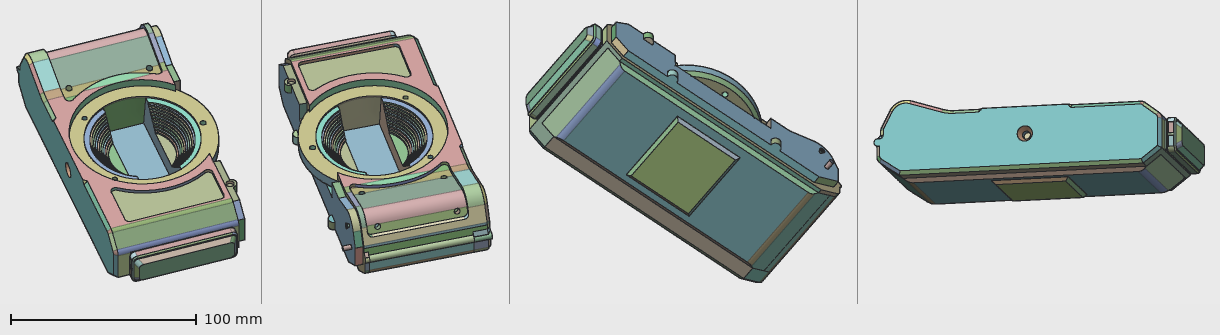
import cadquery as cq
import math


BODY_BACK_Y = 28.5
BODY_FRONT_Y = -42.4
FRONT_CHAMFER = 2.0
SHOULDER_Z = 38.4
BODY_BOTTOM_Z = 4.2
BODY_RIGHT_X = 75.2
BODY_LEFT_X = -82.1
GRIP_LEFT_X = -80.1
BODY_SLOPE_RIGHT_X = 64.8
BODY_SLOPE_LEFT_X = -69.5
RIGHT_SLOPE_LOW_Z = 12.0
LEFT_SLOPE_LOW_Z = 12.7
GRIP_FLANK_FOOT = (-79.6, 30.8)
GRIP_PEAK = (-71.0, 47.5)
GRIP_RADIUS = 10.0
CORNER_RADIUS = 4.0
BODY_CORNERS = [
    ((BODY_RIGHT_X, 30.5), CORNER_RADIUS),
    ((BODY_RIGHT_X, RIGHT_SLOPE_LOW_Z), 0),
    ((BODY_SLOPE_RIGHT_X, BODY_BOTTOM_Z), 0),
    ((BODY_SLOPE_LEFT_X, BODY_BOTTOM_Z), 0),
    ((BODY_LEFT_X, LEFT_SLOPE_LOW_Z), CORNER_RADIUS),
    ((BODY_LEFT_X, 24.5), 0),
    ((GRIP_LEFT_X, 26.5), 0),
    ((GRIP_LEFT_X, 29.5), 0),
    (GRIP_FLANK_FOOT, 0),
    (GRIP_PEAK, GRIP_RADIUS),
    ((-42.5, SHOULDER_Z), 18.5),
    ((BODY_SLOPE_RIGHT_X, SHOULDER_Z), CORNER_RADIUS),
]
PLAIN_EDGE_HALF = 23.5

PLATE_BACK_Y = 32.8
PLATE_NOTCH_HALF = 32.2
PLATE_BOTTOM_Z = 7.2
PLATE_RIGHT_X = 72.2
PLATE_LEFT_X = -77.9
PLATE_SHOULDER_Z = 36.2
PLATE_CORNERS = [
    ((PLATE_RIGHT_X, 29.7), 0),
    ((PLATE_RIGHT_X, 13.4), 0),
    ((64.0, PLATE_BOTTOM_Z), 0),
    ((-64.8, PLATE_BOTTOM_Z), 0),
    ((PLATE_LEFT_X, 16.1), 0),
    ((PLATE_LEFT_X, 29.0), 0),
    ((-70.0, 45.7), 10.0),
    ((-44.9, PLATE_SHOULDER_Z), 0),
    ((64.0, PLATE_SHOULDER_Z), 0),
]

LUG_DIAMETER = 6.2
LUG_AXIS_Y = 32.7
LUG_HEIGHT = 5.5
LUG_XS = (-35.4, 34.3)
EYELET_X = 50.8
EYELET_TOP_Z = PLATE_SHOULDER_Z
EYELET_HOLE_Y = 32.0
EYELET_HOLE_DIAMETER = 4.4
EYELET_HOLE_DEPTH = 2.0
PIN_X, PIN_Z = -69.9, 22.8
PIN_DIAMETER = 2.7
PIN_END_Y = 37.5
BUTTON_X, BUTTON_Z = -65.8, 35.0
BUTTON_STEM_DIAMETER = 2.0
BUTTON_HEAD_DIAMETER = 3.2
BUTTON_HEAD_HEIGHT = 0.5
BUTTON_END_Y = 34.5

MOUNT_TOP_Z = 33.7
MOUNT_THICKNESS = 8.4
MOUNT_RADIUS = 41.0
MOUNT_CHAMFER = 2.2
MOUNT_RECESS_RADIUS = 39.5
SEAT_RADIUS = 31.5
SEAT_DEPTH = 1.0
BAFFLE_TOP_RADIUS = 28.3
BAFFLE_FLOOR_RADIUS = 18.3
BAFFLE_FLOOR_Z = 20.5
BAFFLE_STEPS = 11
GATE_HALF_LENGTH = 32.5
GATE_HALF_HEIGHT = 12.0
MOUNT_HOLE_CIRCLE_RADIUS = 34.5
PIN_HOLE_DIAMETER = 3.2
SCREW_HOLE_DIAMETER = 2.7
SCREW_HOLE_DEPTH = 5.0

POCKET_DEPTH = 2.0
POCKET_TOP_Y = 25.5
POCKET_BOTTOM_Y = -31.0
POCKET_RIGHT_X = 62.0
POCKET_ARC_RADIUS = 44.5
POCKET_CORNER_RADIUS = 2.5
GRIP_POCKET_LOWER_Z = 34.5
GRIP_HOLE_DIAMETER = 3.2
GRIP_HOLE_DEPTH = 5.0
GRIP_TOP_HOLE_X = -45.4
GRIP_TOP_HOLE_YS = (20.0, -26.0)
GRIP_SIDE_HOLE_X, GRIP_SIDE_HOLE_Z = -74.0, 37.9
GRIP_SIDE_HOLE_YS = (19.1, -25.3)
GRIP_FLANK_ANGLE = math.atan2(GRIP_PEAK[1] - GRIP_FLANK_FOOT[1], GRIP_PEAK[0] - GRIP_FLANK_FOOT[0])

TRIPOD_Z = 23.3
TRIPOD_MOUTH_DIAMETER = 8.4
TRIPOD_HOLE_DIAMETER = 4.4
TRIPOD_CONE_DEPTH = 4.0
TRIPOD_DEPTH = 8.0

DOOR_TOP_Y = 26.1
DOOR_BOTTOM_Y = -32.3
DOOR_INNER_Z = 10.2
DOOR_HINGE_WALL_X = -77.4
DOOR_HINGE_WALL_TOP_Z = 18.5
DOOR_BULGE = 2.2
DOOR_BULGE_RADIUS = 6.7
HINGE_X, HINGE_Z = -81.3, 22.5
HINGE_RADIUS = 2.0
BUMP_LEFT_X, BUMP_RIGHT_X = -22.1, 20.3
BUMP_TOP_Y, BUMP_BOTTOM_Y = 19.0, -26.5
BUMP_CHAMFER = 1.8

LATCH_CENTRE_Y, LATCH_CENTRE_Z = -4.4, 21.0
LATCH_NECK_SIZE = (58.0, 16.1)
LATCH_BAR_SIZE = (60.2, 19.1)
LATCH_BAR_LEFT_X, LATCH_BAR_RIGHT_X = 76.0, 81.5
LATCH_CORNER_RADIUS = 3.0
LATCH_RIM_CHAMFER = 0.8
LATCH_CAP_SIZE = (58.3, 15.7)
LATCH_CAP_TAPER = 36.0
LATCH_CAP_RISE = 2.8
LATCH_SLOT_X, LATCH_SLOT_WIDTH = 78.7, 3.0
LATCH_SLOT_HEIGHT = 6.0
LATCH_SLOT_SPACING = 7.4
LATCH_SLOT_DEPTH = 1.0

TALL = 100.5


def box_between(x_range, y_range, z_range):
    """Box from two limits along each axis."""
    spans = [(min(r), max(r)) for r in (x_range, y_range, z_range)]
    sizes = [high - low for low, high in spans]
    return cq.Workplane("XY").box(*sizes, centered=False).translate(tuple(low for low, high in spans))


def cylinder_z(x, y, bottom, radius, height):
    return cq.Workplane("XY", origin=(x, y, bottom)).circle(radius).extrude(height)


def cylinder_y(x, z, y_start, y_end, radius):
    """Cylinder along Y between two places."""
    return cq.Workplane("XZ", origin=(x, y_start, z)).circle(radius).extrude(y_start - y_end)


def rounded_outline(corners, y):
    """Closed XZ outline at height y, with each listed corner rounded by its radius."""
    points = [cq.Vector(x, y, z) for (x, z), radius in corners]
    outline = cq.Wire.makePolygon(points, close=True)
    for point, (_, radius) in zip(points, corners):
        if radius:
            corner = min(outline.Vertices(), key=lambda v: (cq.Vector(*v.toTuple()) - point).Length)
            outline = outline.fillet2D(radius, [corner])
    return outline


def prism(outline, y_start, y_end, taper=0):
    """Extrude an outline that lies at y_start along Y to y_end."""
    direction = cq.Vector(0, y_end - y_start, 0)
    return cq.Workplane(cq.Solid.extrudeLinear(outline, [], direction, taper))


def body_shell():
    """Main block with a chamfer around the tripod face."""
    chamfer_y = BODY_FRONT_Y + FRONT_CHAMFER
    block = prism(rounded_outline(BODY_CORNERS, BODY_BACK_Y), BODY_BACK_Y, chamfer_y)
    rim = prism(rounded_outline(BODY_CORNERS, chamfer_y), chamfer_y, BODY_FRONT_Y, taper=45)
    return block.union(rim).union(plain_edge())


def plain_edge():
    """Stretch of sharp edge below the lens, where the chamfer stops with sloping ends."""
    base_half = PLAIN_EDGE_HALF + FRONT_CHAMFER
    ridge = FRONT_CHAMFER / math.sqrt(2)
    middle = (0, BODY_FRONT_Y + FRONT_CHAMFER / 2, SHOULDER_Z - FRONT_CHAMFER / 2)
    wedge_plane = cq.Plane(origin=middle, xDir=(1, 0, 0), normal=(0, 1, 1))
    wedge = (
        cq.Workplane(wedge_plane)
        .polyline([(-base_half, 0), (base_half, 0), (PLAIN_EDGE_HALF, -ridge), (-PLAIN_EDGE_HALF, -ridge)])
        .close()
        .extrude(FRONT_CHAMFER, both=True)
    )
    edge_block = box_between(
        (-base_half, base_half),
        (BODY_FRONT_Y, BODY_FRONT_Y + FRONT_CHAMFER),
        (SHOULDER_Z - FRONT_CHAMFER, SHOULDER_Z),
    )
    return wedge.intersect(edge_block)


def hinge_ends():
    """Nose that continues the hinge line past both ends of the door."""
    root = box_between(
        (HINGE_X, GRIP_LEFT_X + FRONT_CHAMFER),
        (BODY_FRONT_Y, BODY_BACK_Y),
        (HINGE_Z - HINGE_RADIUS, HINGE_Z + HINGE_RADIUS),
    )
    return root.union(cylinder_y(HINGE_X, HINGE_Z, BODY_BACK_Y, BODY_FRONT_Y, HINGE_RADIUS))


def top_plate():
    plate = prism(rounded_outline(PLATE_CORNERS, BODY_BACK_Y), BODY_BACK_Y, PLATE_BACK_Y)
    notch = box_between(
        (-PLATE_NOTCH_HALF, PLATE_NOTCH_HALF),
        (BODY_BACK_Y, PLATE_BACK_Y),
        (MOUNT_TOP_Z - MOUNT_THICKNESS, TALL),
    )
    return plate.cut(notch)


def plate_fittings():
    """Lugs, eyelet, pin and button that stand on the top plate."""
    radius = LUG_DIAMETER / 2
    fittings = cylinder_z(EYELET_X, LUG_AXIS_Y, EYELET_TOP_Z - LUG_HEIGHT, radius, LUG_HEIGHT)
    for x in LUG_XS:
        fittings = fittings.union(cylinder_z(x, LUG_AXIS_Y, PLATE_BOTTOM_Z, radius, LUG_HEIGHT))
    pin = cylinder_y(PIN_X, PIN_Z, PIN_END_Y, BODY_BACK_Y, PIN_DIAMETER / 2)
    stem = cylinder_y(BUTTON_X, BUTTON_Z, BUTTON_END_Y, BODY_BACK_Y, BUTTON_STEM_DIAMETER / 2)
    head_y = BUTTON_END_Y - BUTTON_HEAD_HEIGHT
    head = cylinder_y(BUTTON_X, BUTTON_Z, BUTTON_END_Y, head_y, BUTTON_HEAD_DIAMETER / 2)
    return fittings.union(pin).union(stem).union(head)


def eyelet_hole():
    bottom = EYELET_TOP_Z - EYELET_HOLE_DEPTH
    return cylinder_z(EYELET_X, EYELET_HOLE_Y, bottom, EYELET_HOLE_DIAMETER / 2, TALL)


def mount_disc():
    disc = cylinder_z(0, 0, MOUNT_TOP_Z - MOUNT_THICKNESS, MOUNT_RADIUS, MOUNT_THICKNESS)
    return disc.faces("<Z").edges().chamfer(MOUNT_CHAMFER)


def lens_opening():
    """Seat, stepped light baffle and film gate below the lens."""
    seat_z = MOUNT_TOP_Z - SEAT_DEPTH
    opening = cylinder_z(0, 0, seat_z, SEAT_RADIUS, TALL)
    step_height = (seat_z - BAFFLE_FLOOR_Z) / BAFFLE_STEPS
    step_width = (BAFFLE_TOP_RADIUS - BAFFLE_FLOOR_RADIUS) / (BAFFLE_STEPS - 1)
    for step in range(BAFFLE_STEPS):
        bottom = seat_z - (step + 1) * step_height
        radius = BAFFLE_TOP_RADIUS - step * step_width
        opening = opening.union(cylinder_z(0, 0, bottom, radius, seat_z - bottom))
    return opening.union(film_gate(seat_z))


def film_gate(top_z):
    """Slot that changes from arc ends at the seat to the rectangular film gate."""
    arc_end = math.sqrt(SEAT_RADIUS ** 2 - GATE_HALF_HEIGHT ** 2)
    low, high = -GATE_HALF_HEIGHT, GATE_HALF_HEIGHT
    return (
        cq.Workplane("XY", origin=(0, 0, top_z))
        .moveTo(-arc_end, low)
        .lineTo(arc_end, low)
        .threePointArc((SEAT_RADIUS, 0), (arc_end, high))
        .lineTo(-arc_end, high)
        .threePointArc((-SEAT_RADIUS, 0), (-arc_end, low))
        .close()
        .workplane(offset=DOOR_INNER_Z - top_z)
        .moveTo(-GATE_HALF_LENGTH, low)
        .lineTo(GATE_HALF_LENGTH, low)
        .lineTo(GATE_HALF_LENGTH, high)
        .lineTo(-GATE_HALF_LENGTH, high)
        .close()
        .loft(ruled=True)
    )


def mount_holes():
    """One through hole above the lens and two blind screw holes below it."""
    holes = cylinder_z(0, MOUNT_HOLE_CIRCLE_RADIUS, 0, PIN_HOLE_DIAMETER / 2, TALL)
    for angle in (225, 315):
        x = MOUNT_HOLE_CIRCLE_RADIUS * math.cos(math.radians(angle))
        y = MOUNT_HOLE_CIRCLE_RADIUS * math.sin(math.radians(angle))
        bottom = MOUNT_TOP_Z - SCREW_HOLE_DEPTH
        holes = holes.union(cylinder_z(x, y, bottom, SCREW_HOLE_DIAMETER / 2, SCREW_HOLE_DEPTH))
    return holes


def pocket_plan(x_range):
    """Upright prism beside the lens mount, with one side hollowed around the lens axis."""
    block = box_between(x_range, (POCKET_BOTTOM_Y, POCKET_TOP_Y), (0, TALL))
    return block.cut(cylinder_z(0, 0, 0, POCKET_ARC_RADIUS, TALL)).edges("|Z").fillet(POCKET_CORNER_RADIUS)


def finger_pocket():
    floor_z = SHOULDER_Z - POCKET_DEPTH
    above_floor = box_between((0, TALL), (-TALL, TALL), (floor_z, TALL))
    return pocket_plan((0, POCKET_RIGHT_X)).intersect(above_floor)


def grip_pocket():
    """Pocket of even depth that wraps over the grip and ends on its flank."""
    window = (
        box_between((-TALL, 0), (POCKET_BOTTOM_Y, POCKET_TOP_Y), (GRIP_POCKET_LOWER_Z, TALL))
        .edges("|X and <Z")
        .fillet(POCKET_CORNER_RADIUS)
    )
    floor_outline = rounded_outline(BODY_CORNERS, BODY_BACK_Y).offset2D(-POCKET_DEPTH, "intersection")[0]
    core = prism(floor_outline, BODY_BACK_Y, BODY_FRONT_Y)
    return pocket_plan((-TALL, 0)).intersect(window).cut(core)


def grip_holes():
    """Four screw holes in the floor of the grip pocket."""
    radius = GRIP_HOLE_DIAMETER / 2
    holes = cq.Workplane("XY")
    for y in GRIP_TOP_HOLE_YS:
        bottom = SHOULDER_Z - GRIP_HOLE_DEPTH
        holes = holes.union(cylinder_z(GRIP_TOP_HOLE_X, y, bottom, radius, TALL))
    outward = (-math.sin(GRIP_FLANK_ANGLE), 0, math.cos(GRIP_FLANK_ANGLE))
    for y in GRIP_SIDE_HOLE_YS:
        plane = cq.Plane(origin=(GRIP_SIDE_HOLE_X, y, GRIP_SIDE_HOLE_Z), xDir=(0, 1, 0), normal=outward)
        holes = holes.union(cq.Workplane(plane).circle(radius).extrude(GRIP_HOLE_DEPTH, both=True))
    return holes


def tripod_socket():
    return (
        cq.Workplane("XY", origin=(0, BODY_FRONT_Y, TRIPOD_Z))
        .polyline([
            (0, 0),
            (TRIPOD_MOUTH_DIAMETER / 2, 0),
            (TRIPOD_HOLE_DIAMETER / 2, TRIPOD_CONE_DEPTH),
            (TRIPOD_HOLE_DIAMETER / 2, TRIPOD_DEPTH),
            (0, TRIPOD_DEPTH),
        ])
        .close()
        .revolve(360, (0, 0, 0), (0, 1, 0))
    )


def door_space():
    """Part of the camera block that the door takes up, up to the hinge."""
    y_range = (DOOR_BOTTOM_Y, DOOR_TOP_Y)
    back = box_between((-TALL, TALL), y_range, (0, DOOR_INNER_Z))
    wall = box_between((-TALL, DOOR_HINGE_WALL_X), y_range, (0, DOOR_HINGE_WALL_TOP_Z))
    hinge_side = box_between((-TALL, GRIP_LEFT_X), y_range, (0, HINGE_Z)).union(wall)
    outline = prism(rounded_outline(BODY_CORNERS, DOOR_TOP_Y), DOOR_TOP_Y, DOOR_BOTTOM_Y)
    hinge = cylinder_y(HINGE_X, HINGE_Z, DOOR_TOP_Y, DOOR_BOTTOM_Y, HINGE_RADIUS)
    outside_grip = box_between((-TALL, GRIP_LEFT_X), y_range, (0, TALL))
    return back.union(hinge_side).intersect(outline).union(hinge.intersect(outside_grip))


def make_housing():
    housing = body_shell().union(hinge_ends()).union(top_plate())
    hinge_gap = box_between(
        (-TALL, GRIP_LEFT_X), (DOOR_BOTTOM_Y, DOOR_TOP_Y), (0, HINGE_Z + 2 * HINGE_RADIUS))
    housing = housing.cut(cylinder_z(0, 0, MOUNT_TOP_Z, MOUNT_RECESS_RADIUS, TALL))
    housing = housing.union(mount_disc()).union(plate_fittings())
    housing = housing.cut(hinge_gap).cut(door_space())
    housing = housing.cut(lens_opening()).cut(mount_holes()).cut(eyelet_hole())
    housing = housing.cut(finger_pocket()).cut(grip_pocket()).cut(grip_holes())
    return housing.cut(tripod_socket())


def make_door():
    rear_z = BODY_BOTTOM_Z - DOOR_BULGE
    left_slope = (LEFT_SLOPE_LOW_Z - BODY_BOTTOM_Z) / (BODY_SLOPE_LEFT_X - BODY_LEFT_X)
    right_slope = (RIGHT_SLOPE_LOW_Z - BODY_BOTTOM_Z) / (BODY_RIGHT_X - BODY_SLOPE_RIGHT_X)
    bulge = (
        cq.Workplane("XZ", origin=(0, DOOR_TOP_Y, 0))
        .polyline([
            (BODY_SLOPE_LEFT_X, BODY_BOTTOM_Z),
            (BODY_SLOPE_RIGHT_X, BODY_BOTTOM_Z),
            (BODY_SLOPE_RIGHT_X - DOOR_BULGE / right_slope, rear_z),
            (BODY_SLOPE_LEFT_X + DOOR_BULGE / left_slope, rear_z),
        ])
        .close()
        .extrude(DOOR_TOP_Y - DOOR_BOTTOM_Y)
        .faces("<Z")
        .edges("|Y")
        .fillet(DOOR_BULGE_RADIUS)
    )
    end_taper = (
        cq.Workplane("YZ", origin=(-TALL, 0, 0))
        .polyline([
            (DOOR_TOP_Y, BODY_BOTTOM_Z),
            (DOOR_BOTTOM_Y, BODY_BOTTOM_Z),
            (DOOR_BOTTOM_Y + DOOR_BULGE, rear_z),
            (DOOR_TOP_Y - DOOR_BULGE, rear_z),
        ])
        .close()
        .extrude(2 * TALL)
    )
    bump = (
        box_between((BUMP_LEFT_X, BUMP_RIGHT_X), (BUMP_BOTTOM_Y, BUMP_TOP_Y), (0, rear_z))
        .faces("<Z")
        .edges()
        .chamfer(BUMP_CHAMFER)
    )
    return door_space().union(bulge.intersect(end_taper)).union(bump)


def make_latch():
    def bar(x_start, x_end, size, taper=0):
        plane = cq.Workplane("YZ", origin=(x_start, LATCH_CENTRE_Y, LATCH_CENTRE_Z))
        return plane.rect(*size).extrude(x_end - x_start, taper=taper)

    neck = bar(BODY_RIGHT_X, LATCH_BAR_LEFT_X, LATCH_NECK_SIZE)
    body = (
        bar(LATCH_BAR_LEFT_X, LATCH_BAR_RIGHT_X, LATCH_BAR_SIZE)
        .edges("|X")
        .fillet(LATCH_CORNER_RADIUS)
        .faces("<X or >X")
        .edges()
        .chamfer(LATCH_RIM_CHAMFER)
    )
    cap_end_x = LATCH_BAR_RIGHT_X + LATCH_CAP_RISE
    cap = (
        bar(LATCH_BAR_RIGHT_X, cap_end_x, LATCH_CAP_SIZE, LATCH_CAP_TAPER)
        .edges("not (|Y or |Z)")
        .fillet(LATCH_CORNER_RADIUS)
    )
    latch = neck.union(body).union(cap)
    end_y = LATCH_CENTRE_Y - LATCH_BAR_SIZE[0] / 2
    for side in (-1, 1):
        z = LATCH_CENTRE_Z + side * LATCH_SLOT_SPACING / 2
        slot = box_between(
            (LATCH_SLOT_X - LATCH_SLOT_WIDTH / 2, LATCH_SLOT_X + LATCH_SLOT_WIDTH / 2),
            (end_y, end_y + LATCH_SLOT_DEPTH),
            (z - LATCH_SLOT_HEIGHT / 2, z + LATCH_SLOT_HEIGHT / 2),
        )
        latch = latch.cut(slot)
    return latch


housing = make_housing()
door = make_door()
latch = make_latch()

result = cq.Compound.makeCompound([housing.val(), door.val(), latch.val()])